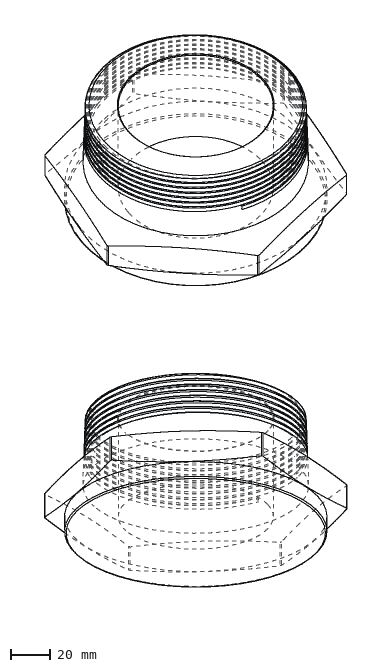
import cadquery as cq
import math

total_height = 64.0
hex_bottom = 9.0
hex_top = 26.1

across_flats = 133.4
across_corners = 153.5
hex_bevel_height = 2.0

cap_radius = 66.5
cap_chamfer = 0.8

neck_radius = 57.1
taper_start = 31.0
bore_radius = 39.3
bore_chamfer = 0.5
top_chamfer_width = 2.0
top_chamfer_height = 1.0

thread_start = 40.2
thread_length = total_height - thread_start
thread_pitch = 22.3 / 7
groove_depth = 1.8
taper = 1 / 32
groove_overshoot = 0.6
thread_run_off = thread_pitch
crest_gap = 0.2


def make_hexagon():
    """Hexagonal flange whose corners are bevelled by a turned profile."""
    sharp_corners = across_flats / math.cos(math.pi / 6)
    hexagon = (
        cq.Workplane("XY", origin=(0, 0, hex_bottom))
        .polygon(6, sharp_corners)
        .extrude(hex_top - hex_bottom)
    )
    flat_radius = across_flats / 2
    corner_radius = across_corners / 2
    turned_envelope = (
        cq.Workplane("XZ")
        .polyline([
            (0, hex_bottom),
            (flat_radius, hex_bottom),
            (corner_radius, hex_bottom + hex_bevel_height),
            (corner_radius, hex_top - hex_bevel_height),
            (flat_radius, hex_top),
            (0, hex_top),
        ])
        .close()
        .revolve(360, (0, 0), (0, 1))
    )
    return hexagon.intersect(turned_envelope)


def tapered_radius(height):
    """Radius of the tapered part of the neck at a given height."""
    return neck_radius - taper * (height - taper_start)


def make_neck():
    """Neck blank: a cylinder, then a slight taper and a chamfered top."""
    tip_radius = tapered_radius(total_height - top_chamfer_height)
    return (
        cq.Workplane("XZ")
        .polyline([
            (0, hex_top),
            (neck_radius, hex_top),
            (neck_radius, taper_start),
            (tip_radius, total_height - top_chamfer_height),
            (tip_radius - top_chamfer_width, total_height),
            (0, total_height),
        ])
        .close()
        .revolve(360, (0, 0), (0, 1))
    )


def make_thread_cutter():
    """V-shaped groove swept up a tapered helix, running off above the top."""
    turn_height = thread_length + thread_run_off
    base_radius = tapered_radius(thread_start) + groove_overshoot
    taper_degrees = math.degrees(math.atan(taper))
    helix = cq.Wire.makeHelix(
        thread_pitch, turn_height, base_radius, angle=-taper_degrees
    ).translate(cq.Vector(0, 0, thread_start))
    v_depth = groove_depth + groove_overshoot
    half_width = (thread_pitch - crest_gap) / 2
    return (
        cq.Workplane("XZ")
        .polyline([
            (base_radius, thread_start - half_width),
            (base_radius, thread_start + half_width),
            (base_radius - v_depth, thread_start),
        ])
        .close()
        .sweep(cq.Workplane(obj=helix), isFrenet=True)
    )


def make_fitting():
    """Hexagon and threaded neck with a through bore."""
    bore = (
        cq.Workplane("XY", origin=(0, 0, hex_bottom))
        .circle(bore_radius)
        .extrude(total_height - hex_bottom)
    )
    bore_mouth = cq.Workplane(obj=cq.Solid.makeCone(
        bore_radius,
        bore_radius + bore_chamfer,
        bore_chamfer,
        pnt=cq.Vector(0, 0, total_height - bore_chamfer),
    ))
    threaded_neck = make_neck().cut(make_thread_cutter())
    return make_hexagon().union(threaded_neck).cut(bore).cut(bore_mouth)


def make_end_cap():
    """Round disc that closes the lower end of the bore."""
    return (
        cq.Workplane("XY")
        .circle(cap_radius)
        .extrude(hex_bottom)
        .faces("<Z")
        .edges()
        .chamfer(cap_chamfer)
    )


fitting = make_fitting()
end_cap = make_end_cap()
result = cq.Compound.makeCompound([fitting.val(), end_cap.val()])